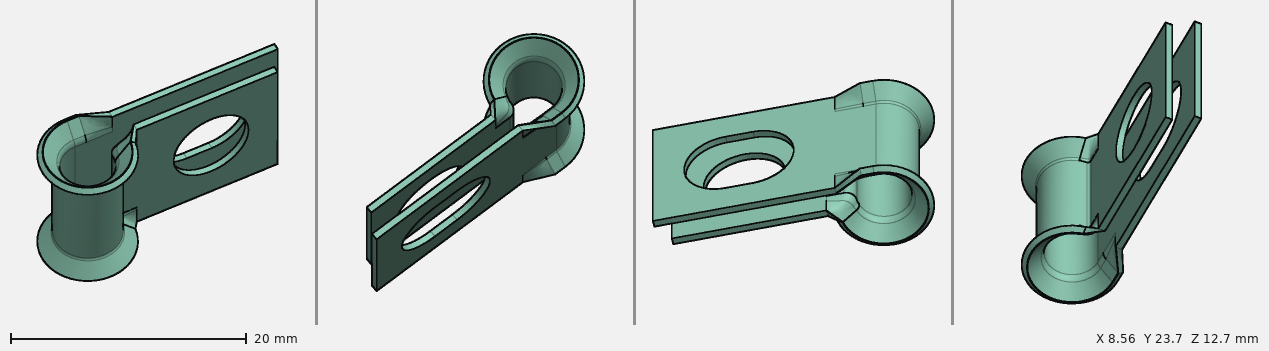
import math

import cadquery as cq

HEIGHT = 12.7
HALF_HEIGHT = HEIGHT / 2
SHEET = 0.635
FLARE_RADIUS = 4.28
TUBE_INNER = 2.385
TUBE_OUTER = TUBE_INNER + SHEET

FLARE_ANGLE = math.radians(41)
FLARE_BEND = 0.40
TIP_DROP = 0.39

LONG_LEG_END = 19.41
SHORT_LEG_END = 18.26
SHORT_LEG_X = -0.84
LEG_BEND = 0.90

LONG_FLARE_END = 1.11
LONG_FADE_END = 3.59
SHORT_FLARE_X = 0.69
SHORT_FADE_END = 4.81
FADE_STEPS = 14

HOLE_Y = 11.91
HOLE_DIAMETER = 7.14
SLOT_LENGTH = 9.525


def bend_point(radius, angle):
    """Radial offset and rise after turning through an angle on a bend."""
    return radius * (1 - math.cos(angle)), radius * math.sin(angle)


INNER_BEND = FLARE_BEND + SHEET
OUT_MID = bend_point(FLARE_BEND, FLARE_ANGLE / 2)
OUT_END = bend_point(FLARE_BEND, FLARE_ANGLE)
IN_MID = bend_point(INNER_BEND, FLARE_ANGLE / 2)
IN_END = bend_point(INNER_BEND, FLARE_ANGLE)
TIP_OUTER_Z = HALF_HEIGHT - TIP_DROP
RIM_RADIUS = FLARE_RADIUS - TIP_DROP / math.tan(FLARE_ANGLE)
TIP_INNER_RADIUS = FLARE_RADIUS - SHEET / math.cos(FLARE_ANGLE) + TIP_DROP * math.tan(FLARE_ANGLE)
CONE_RISE = (FLARE_RADIUS - TUBE_OUTER - OUT_END[0]) / math.tan(FLARE_ANGLE)
FLARE_BASE = TIP_OUTER_Z - CONE_RISE - OUT_END[1]

OUTER_SECTION = [
    (TUBE_OUTER, FLARE_BASE),
    (TUBE_OUTER + OUT_MID[0], FLARE_BASE + OUT_MID[1]),
    (TUBE_OUTER + OUT_END[0], FLARE_BASE + OUT_END[1]),
    (FLARE_RADIUS, TIP_OUTER_Z),
]
INNER_SECTION = [
    (TUBE_INNER, FLARE_BASE),
    (TUBE_INNER + IN_MID[0], FLARE_BASE + IN_MID[1]),
    (TUBE_INNER + IN_END[0], FLARE_BASE + IN_END[1]),
    (TIP_INNER_RADIUS, HALF_HEIGHT),
]
RIM_POINT = (RIM_RADIUS, HALF_HEIGHT)
RIM_RUNOUT = 0.9


def box(x_min, x_max, y_min, y_max, z_min, z_max):
    size = (x_max - x_min, y_max - y_min, z_max - z_min)
    return cq.Workplane("XY").box(*size, centered=False).translate((x_min, y_min, z_min))


def flare_section(side):
    """Upper flare section in the XZ plane, on the +X (1) or -X (-1) side."""
    outer = [(side * radius, z) for radius, z in OUTER_SECTION]
    inner = [(side * radius, z) for radius, z in INNER_SECTION]
    return (
        cq.Workplane("XZ")
        .moveTo(*outer[0])
        .threePointArc(outer[1], outer[2])
        .lineTo(*outer[3])
        .lineTo(side * RIM_RADIUS, HALF_HEIGHT)
        .lineTo(*inner[3])
        .lineTo(*inner[2])
        .threePointArc(inner[1], inner[0])
        .close()
    )


def eyelet_flare():
    """Flare swept round the eyelet, open on the side of the legs."""
    ring = flare_section(1).revolve(360, (0, 0, 0), (0, 1, 0))
    opening = box(-2 * FLARE_RADIUS, SHORT_FLARE_X, 0, 2 * FLARE_RADIUS, 0, HEIGHT)
    return ring.cut(opening)


def section_wire(outer, rim, inner):
    """Closed section: bends are smooth curves, everything else is straight."""
    outer = [cq.Vector(*point) for point in outer]
    inner = [cq.Vector(*point) for point in inner]
    rim = cq.Vector(*rim)
    return cq.Wire.assembleEdges([
        cq.Edge.makeSpline(outer[:3]),
        cq.Edge.makeLine(outer[2], outer[3]),
        cq.Edge.makeLine(outer[3], rim),
        cq.Edge.makeLine(rim, inner[3]),
        cq.Edge.makeLine(inner[3], inner[2]),
        cq.Edge.makeSpline(inner[2::-1]),
        cq.Edge.makeLine(inner[0], outer[0]),
    ])


def height_fractions(section):
    base = section[0][1]
    rise = section[-1][1] - base
    return [(z - base) / rise for _, z in section]


def leg_edge(section, x, y):
    """Vertical line of points on a flat leg, spaced like a flare section."""
    leg_rise = HALF_HEIGHT - FLARE_BASE
    return [(x, y, FLARE_BASE + f * leg_rise) for f in height_fractions(section)]


def between(start, end, fraction):
    return tuple(a + (b - a) * fraction for a, b in zip(start, end))


def long_leg_fade():
    """Straight flare beside the long leg, then its fade into the flat sheet."""
    straight = flare_section(-1).extrude(-LONG_FLARE_END)
    outer, rim, inner = [
        [(-radius, LONG_FLARE_END, z) for radius, z in section]
        for section in (OUTER_SECTION, [RIM_POINT], INNER_SECTION)
    ]
    flat_outer = leg_edge(OUTER_SECTION, -TUBE_OUTER, LONG_FADE_END)
    flat_inner = leg_edge(INNER_SECTION, -TUBE_INNER, LONG_FADE_END)
    flat_rim = between(flat_outer[-1], flat_inner[-1], RIM_RUNOUT)
    wires = [section_wire(outer, rim[0], inner), section_wire(flat_outer, flat_rim, flat_inner)]
    fade = cq.Solid.makeLoft(wires, True)
    return straight.union(cq.Workplane(fade))


LEG_BEND_X = SHORT_LEG_X + LEG_BEND
LEG_BEND_Y = math.sqrt((TUBE_INNER + LEG_BEND) ** 2 - LEG_BEND_X ** 2)
JOIN_ANGLE = math.atan2(LEG_BEND_Y, LEG_BEND_X)
SHORT_LEG_OUTER_X = SHORT_LEG_X + SHEET


def on_leg_bend(radius, angle):
    return LEG_BEND_X + radius * math.cos(angle), LEG_BEND_Y + radius * math.sin(angle)


def sheet_path(tube_radius, bend_radius, leg_x):
    """Edges of one sheet face from the flare end, round the bend, up the short leg."""
    start = (SHORT_FLARE_X, math.sqrt(tube_radius ** 2 - SHORT_FLARE_X ** 2))
    start_angle = math.atan2(start[1], start[0])
    middle_angle = (start_angle + JOIN_ANGLE) / 2
    middle = (tube_radius * math.cos(middle_angle), tube_radius * math.sin(middle_angle))
    join = (tube_radius * math.cos(JOIN_ANGLE), tube_radius * math.sin(JOIN_ANGLE))
    bend_start_angle = JOIN_ANGLE + math.pi
    bend_middle = on_leg_bend(bend_radius, (bend_start_angle + math.pi) / 2)
    points = [cq.Vector(*p) for p in (start, middle, join, bend_middle, (leg_x, LEG_BEND_Y))]
    return [
        cq.Edge.makeThreePointArc(*points[:3]),
        cq.Edge.makeThreePointArc(*points[2:]),
        cq.Edge.makeLine(points[4], cq.Vector(leg_x, SHORT_FADE_END)),
    ]


INNER_PATH = sheet_path(TUBE_INNER, LEG_BEND, SHORT_LEG_X)
OUTER_PATH = sheet_path(TUBE_OUTER, LEG_BEND - SHEET, SHORT_LEG_OUTER_X)


def short_leg_bend():
    """Bent sheet joining the eyelet to the short leg, below the upper fade."""
    caps = [
        cq.Edge.makeLine(OUTER_PATH[end].positionAt(t), INNER_PATH[end].positionAt(t))
        for end, t in ((0, 0), (-1, 1))
    ]
    outline = cq.Wire.assembleEdges(INNER_PATH + [caps[1]] + OUTER_PATH[::-1] + [caps[0]])
    bend = cq.Solid.extrudeLinear(outline, [], cq.Vector(0, 0, 2 * FLARE_BASE))
    return cq.Workplane(bend).translate((0, 0, -FLARE_BASE))


def on_flare_end(radius, z):
    """Point of the swept flare on the plane where it ends beside the short leg."""
    return SHORT_FLARE_X, math.sqrt(radius ** 2 - SHORT_FLARE_X ** 2), z


def fade_edge(section, path, leg_x, fraction):
    """Fade points at one station: the base follows the bend, the rim runs straight."""
    flared = [on_flare_end(radius, z) for radius, z in section]
    flat = leg_edge(section, leg_x, SHORT_FADE_END)
    base = cq.Wire.assembleEdges(path).positionAt(fraction)
    straight_base = between(flared[0], flat[0], fraction)
    shift = (base.x - straight_base[0], base.y - straight_base[1])
    edge = []
    for start, end, height in zip(flared, flat, height_fractions(section)):
        x, y, z = between(start, end, fraction)
        edge.append((x + (1 - height) * shift[0], y + (1 - height) * shift[1], z))
    return edge


def short_leg_fade():
    """Fade of the flare through the reverse bend into the short leg."""
    flared_rim = on_flare_end(*RIM_POINT)
    flat_rim = between(
        (SHORT_LEG_OUTER_X, SHORT_FADE_END, HALF_HEIGHT),
        (SHORT_LEG_X, SHORT_FADE_END, HALF_HEIGHT),
        RIM_RUNOUT,
    )
    wires = []
    for step in range(FADE_STEPS + 1):
        fraction = step / FADE_STEPS
        outer = fade_edge(OUTER_SECTION, OUTER_PATH, SHORT_LEG_OUTER_X, fraction)
        inner = fade_edge(INNER_SECTION, INNER_PATH, SHORT_LEG_X, fraction)
        rim = between(flared_rim, flat_rim, fraction)
        wires.append(section_wire(outer, rim, inner))
    return cq.Workplane(cq.Solid.makeLoft(wires))


def tube():
    """Plain middle of the eyelet."""
    ring = (
        cq.Workplane("XY")
        .circle(TUBE_OUTER)
        .circle(TUBE_INNER)
        .extrude(FLARE_BASE, both=True)
    )
    opening = box(-HEIGHT, SHORT_FLARE_X, 0, HEIGHT, -FLARE_BASE, FLARE_BASE)
    return ring.cut(opening)


def long_leg():
    middle = box(-TUBE_OUTER, -TUBE_INNER, 0, LONG_FADE_END, -FLARE_BASE, FLARE_BASE)
    leg = box(-TUBE_OUTER, -TUBE_INNER, LONG_FADE_END, LONG_LEG_END, -HALF_HEIGHT, HALF_HEIGHT)
    slot = (
        cq.Workplane("YZ", origin=(-TUBE_OUTER, HOLE_Y, 0))
        .slot2D(SLOT_LENGTH, HOLE_DIAMETER)
        .extrude(SHEET)
    )
    return middle.union(leg).cut(slot)


def short_leg():
    leg = box(
        SHORT_LEG_X, SHORT_LEG_OUTER_X, SHORT_FADE_END, SHORT_LEG_END, -HALF_HEIGHT, HALF_HEIGHT
    )
    hole = (
        cq.Workplane("YZ", origin=(SHORT_LEG_X, HOLE_Y, 0))
        .circle(HOLE_DIAMETER / 2)
        .extrude(SHEET)
    )
    return leg.cut(hole)


result = tube().union(long_leg()).union(short_leg_bend()).union(short_leg())
for flare_part in (eyelet_flare(), long_leg_fade(), short_leg_fade()):
    result = result.union(flare_part).union(flare_part.mirror("XY"))